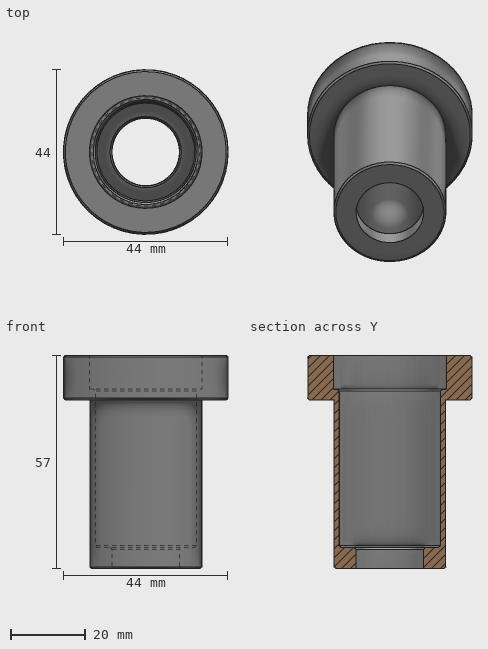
import cadquery as cq

total_height = 57.0
head_diameter = 44.0
head_height = 11.95
stem_diameter = 29.9
edge_chamfer = 0.5

recess_diameter = 30.1
recess_depth = 9.0
bore_diameter = 27.0
bore_floor_diameter = 26.1
floor_thickness = 5.7
hole_diameter = 18.0

head_bottom = total_height - head_height
recess_floor = total_height - recess_depth
floor_bevel = (bore_diameter - bore_floor_diameter) / 2


def cylinder(diameter, bottom, top):
    """Cylinder on the Z axis between two heights."""
    return cq.Workplane("XY").workplane(offset=bottom).circle(diameter / 2).extrude(top - bottom)


def make_body():
    """Flanged head on a stem, with bevelled outer edges."""
    head = cylinder(head_diameter, head_bottom, total_height).edges("%CIRCLE").chamfer(edge_chamfer)
    stem = cylinder(stem_diameter, 0, head_bottom).faces("<Z").edges().chamfer(edge_chamfer)
    return head.union(stem)


def make_entry_bevel(diameter, top):
    """Conical cutter that bevels the upper rim of a hole of the given diameter."""
    return (
        cq.Workplane("XY")
        .workplane(offset=top)
        .circle(diameter / 2 + edge_chamfer)
        .workplane(offset=-edge_chamfer)
        .circle(diameter / 2)
        .loft(ruled=True)
    )


def make_cavity():
    """Recess in the head, deep bore with bevels at both ends, and through hole."""
    recess = cylinder(recess_diameter, recess_floor, total_height)
    bore = cylinder(bore_diameter, floor_thickness, recess_floor).faces("<Z").edges().chamfer(floor_bevel)
    hole = cylinder(hole_diameter, 0, floor_thickness)
    bore_entry = make_entry_bevel(bore_diameter, recess_floor)
    hole_entry = make_entry_bevel(hole_diameter, floor_thickness)
    return recess.union(bore).union(hole).union(bore_entry).union(hole_entry)


result = make_body().cut(make_cavity())